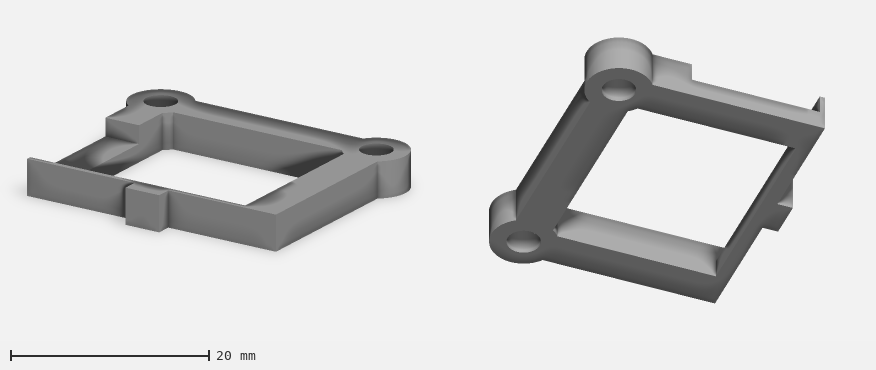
import cadquery as cq

length = 33.0
depth = 26.75
thickness = 4.0

ear_radius = 3.5
hole_diameter = 3.5
ear_x = length / 2 - ear_radius
ear_y = -ear_radius

frame_length = 30.02
frame_back = -1.52
tab_projection = 1.68
frame_front = -depth + tab_projection
wall = 4.05
front_wall = 1.52

ledge_drop = 2.0
ledge_back = -10.65
lip = 0.55

tab_width = 4.05

frame_left = -frame_length / 2
frame_right = frame_length / 2
opening_left = frame_left + wall
opening_right = frame_right - wall


def block(x_min, x_max, y_min, y_max, z_min, z_max):
    """Box given by its limits along each axis."""
    size = (x_max - x_min, y_max - y_min, z_max - z_min)
    return cq.Workplane("XY").box(*size, centered=False).translate((x_min, y_min, z_min))


def ear_cylinders(radius):
    """Full-height cylinder at the centre of each ear."""
    centres = [(-ear_x, ear_y), (ear_x, ear_y)]
    return cq.Workplane("XY").pushPoints(centres).circle(radius).extrude(thickness)


frame = block(frame_left, frame_right, frame_front, frame_back, 0, thickness)
opening = block(
    opening_left, opening_right,
    frame_front + front_wall, frame_back - wall,
    0, thickness,
)
tab = block(-tab_width / 2, tab_width / 2, -depth, frame_front, 0, thickness)

ledge = block(
    frame_left, opening_right,
    frame_front + lip, ledge_back,
    thickness - ledge_drop, thickness,
)

result = frame.cut(opening).union(ear_cylinders(ear_radius)).union(tab)
result = result.cut(ledge).cut(ear_cylinders(hole_diameter / 2))